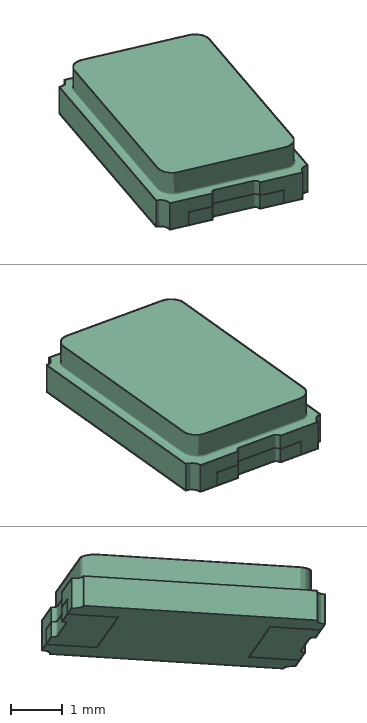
import cadquery as cq

BASE_LENGTH = 5.0
BASE_WIDTH = 3.2
BASE_HEIGHT = 0.6
CORNER_SCALLOP_RADIUS = 0.2

NOTCH_WIDTH = 1.0
NOTCH_DEPTH = 0.1
NOTCH_CORNER_RADIUS = NOTCH_DEPTH

TOTAL_HEIGHT = 1.11
LID_HEIGHT = TOTAL_HEIGHT - BASE_HEIGHT
LID_LENGTH = 4.55
LID_WIDTH = 2.85
LID_CORNER_RADIUS = 0.3
BLEND_RADIUS = 0.05

TERMINAL_WIDTH = 2 * NOTCH_WIDTH
TERMINAL_HEIGHT = BASE_HEIGHT / 2
TERMINAL_LENGTH = 1.0

ENDS = (-1, 1)


def make_end_notch(end):
    """Full-height cutter for one end notch, with rounded inner corners."""
    return (
        cq.Workplane("XY")
        .box(2 * NOTCH_DEPTH, NOTCH_WIDTH, BASE_HEIGHT, centered=(True, True, False))
        .edges("|Z and <X" if end > 0 else "|Z and >X")
        .fillet(NOTCH_CORNER_RADIUS)
        .translate((end * BASE_LENGTH / 2, 0, 0))
    )


def make_base():
    """Rectangular base with scalloped corners and a notch in each end."""
    base = cq.Workplane("XY").box(BASE_LENGTH, BASE_WIDTH, BASE_HEIGHT, centered=(True, True, False))
    scallops = (
        cq.Workplane("XY")
        .rect(BASE_LENGTH, BASE_WIDTH, forConstruction=True)
        .vertices()
        .circle(CORNER_SCALLOP_RADIUS)
        .extrude(BASE_HEIGHT)
    )
    base = base.cut(scallops)
    for end in ENDS:
        base = base.cut(make_end_notch(end))
    return base


def make_package():
    """Base and lid in one piece, with a concave blend around the foot of the lid."""
    lid = (
        cq.Workplane("XY", origin=(0, 0, BASE_HEIGHT))
        .rect(LID_LENGTH, LID_WIDTH)
        .extrude(LID_HEIGHT)
        .edges("|Z")
        .fillet(LID_CORNER_RADIUS)
    )
    tolerance = BLEND_RADIUS / 10
    lid_foot = cq.selectors.BoxSelector(
        (-LID_LENGTH / 2 - tolerance, -LID_WIDTH / 2 - tolerance, BASE_HEIGHT - tolerance),
        (LID_LENGTH / 2 + tolerance, LID_WIDTH / 2 + tolerance, BASE_HEIGHT + tolerance),
        boundingbox=True,
    )
    return make_base().union(lid).edges(lid_foot).fillet(BLEND_RADIUS)


def make_terminal(end):
    """Low block flush with the bottom and one end, following the end notch."""
    block = (
        cq.Workplane("XY")
        .box(TERMINAL_LENGTH, TERMINAL_WIDTH, TERMINAL_HEIGHT, centered=(True, True, False))
        .translate((end * (BASE_LENGTH - TERMINAL_LENGTH) / 2, 0, 0))
    )
    return block.cut(make_end_notch(end))


terminals = [make_terminal(end) for end in ENDS]

package = make_package()
for terminal in terminals:
    package = package.cut(terminal)

result = cq.Compound.makeCompound([package.val(), *[terminal.val() for terminal in terminals]])